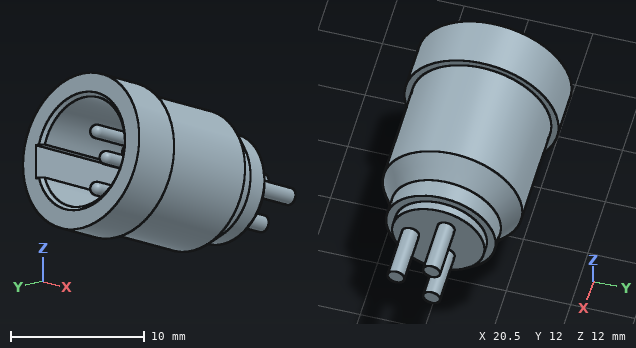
import cadquery as cq

flange_diameter = 12.0
flange_radius = flange_diameter / 2
flange_end = 3.81
body_radius = 5.43
body_end = 12.18
collar_radius = 4.26
taper_end = 14.02
collar_end = 15.54
boss_radius = 3.59
boss_end = 16.28
total_length = 20.5

socket_radius = 4.22
socket_depth = 10.25
mouth_chamfer = 0.3
keyway_width = 2.56
keyway_reach = 4.65

pin_radius = 0.51
pin_tip = 2.25
pin_places = [(0, 0), (0.96, 2.21), (0.96, -2.21), (-2.32, 0)]

wire_diameter = 1.33
wire_radius = wire_diameter / 2
wire_places = [(0.62, 1.62), (0.62, -1.62), (-2.15, 0)]


def rod(radius, start, end, place):
    """Cylinder along X between two stations, centred at a (Y, Z) place."""
    return (
        cq.Workplane("YZ", origin=(start, 0, 0))
        .center(*place)
        .circle(radius)
        .extrude(end - start)
    )


def make_housing():
    """Flange, body, taper, collar and boss turned about X."""
    return (
        cq.Workplane("XY")
        .moveTo(0, 0)
        .lineTo(0, flange_radius)
        .lineTo(flange_end, flange_radius)
        .lineTo(flange_end, body_radius)
        .lineTo(body_end, body_radius)
        .lineTo(taper_end, collar_radius)
        .lineTo(collar_end, collar_radius)
        .lineTo(collar_end, boss_radius)
        .lineTo(boss_end, boss_radius)
        .lineTo(boss_end, 0)
        .close()
        .revolve(360, (0, 0, 0), (1, 0, 0))
    )


def make_socket():
    """Space removed for the chamfered bore and the keyway on its +Y side."""
    bore = (
        cq.Workplane("XY")
        .moveTo(0, 0)
        .lineTo(0, socket_radius + mouth_chamfer)
        .lineTo(mouth_chamfer, socket_radius)
        .lineTo(socket_depth, socket_radius)
        .lineTo(socket_depth, 0)
        .close()
        .revolve(360, (0, 0, 0), (1, 0, 0))
    )
    keyway = cq.Workplane("XY").box(
        socket_depth, keyway_reach, keyway_width, centered=(False, False, True)
    )
    return bore.union(keyway)


def make_pin(place):
    """Contact pin standing on the socket floor, with a hemispherical tip."""
    dome_centre = pin_tip + pin_radius
    dome = cq.Workplane("XY").sphere(pin_radius).translate((dome_centre, *place))
    return rod(pin_radius, dome_centre, socket_depth, place).union(dome)


result = make_housing().cut(make_socket())
for pin_place in pin_places:
    result = result.union(make_pin(pin_place))
for wire_place in wire_places:
    result = result.union(rod(wire_radius, boss_end, total_length, wire_place))